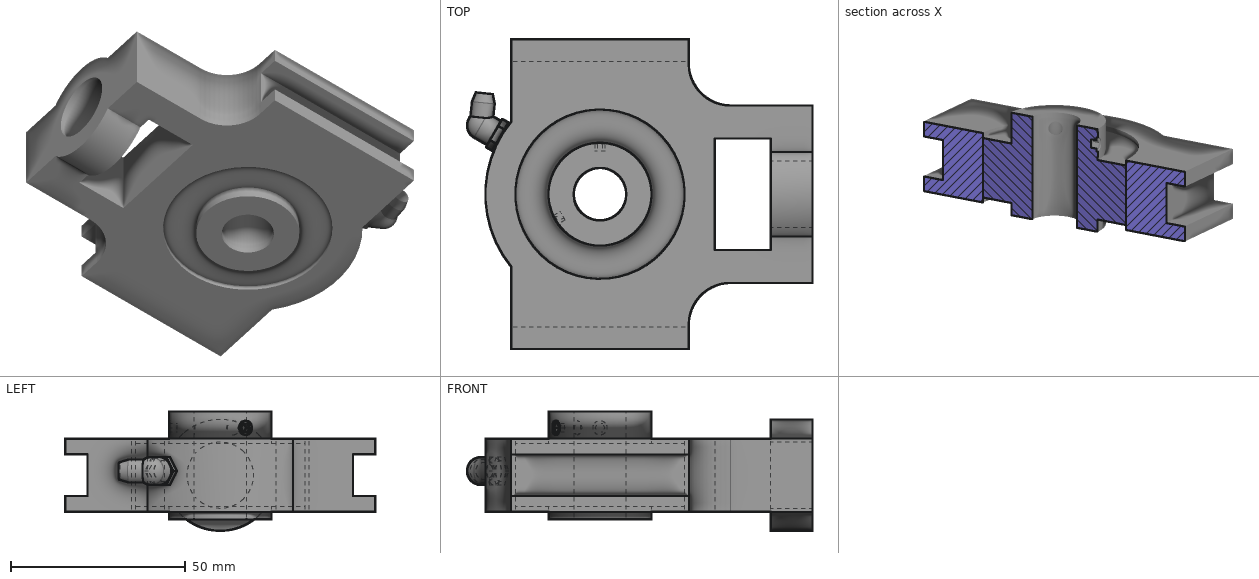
import cadquery as cq
import math


OVERALL_LENGTH = 99.2
OVERALL_HEIGHT = 34.3

HOUSING_THICKNESS = 21.0
BLOCK_LENGTH = 51.0
BLOCK_WIDTH = 89.0
ROUND_END_RADIUS = 32.9
ARM_WIDTH = 51.0
ARM_END_X = 61.0
ARM_FILLET_RADIUS = 12.0
GUIDE_GROOVE_HEIGHT = 11.9
GUIDE_GROOVE_DEPTH = 6.3

WINDOW_START_X = 32.9
WINDOW_WIDTH = 31.9
END_WALL_THICKNESS = 12.0
WINDOW_END_X = ARM_END_X - END_WALL_THICKNESS
BOSS_DIAMETER = 32.0
BOSS_HOLE_DIAMETER = 19.0

RACE_DIAMETER = 48.6
RACE_RECESS = 1.5
RACE_THICKNESS = HOUSING_THICKNESS - 2 * RACE_RECESS
COLLAR_DIAMETER = 29.6
COLLAR_TOP_Z = OVERALL_HEIGHT - BOSS_DIAMETER / 2
COLLAR_BOTTOM_Z = -12.7
SHAFT_DIAMETER = 15.0

SCREW_DIAMETER = 4.1
SCREW_Z = 13.6
SCREW_ANGLES = (90, 210)
SCREW_FACE_INSET = 0.4
SCREW_FACE_RADIUS = COLLAR_DIAMETER / 2 - SCREW_FACE_INSET
SCREW_TIP_INSET = 0.1
SCREW_TIP_RADIUS = SHAFT_DIAMETER / 2 + SCREW_TIP_INSET
SOCKET_ACROSS_FLATS = 2.4
SOCKET_DEPTH = 2.0

NIPPLE_ANGLE = 150
NIPPLE_Z = 1.2
ELBOW_DIAMETER = 8.0
ELBOW_REACH = OVERALL_LENGTH - ARM_END_X - ELBOW_DIAMETER / 2
ELBOW_RADIUS = ELBOW_REACH / abs(math.cos(math.radians(NIPPLE_ANGLE)))
SHANK_DIAMETER = 6.0
SHANK_INNER_RADIUS = 30.7
HEX_ACROSS_FLATS = 8.1
HEX_THICKNESS = 2.1
HEX_CLEARANCE = 0.1
HEX_INNER_RADIUS = ROUND_END_RADIUS + HEX_CLEARANCE
HEX_OUTER_RADIUS = HEX_INNER_RADIUS + HEX_THICKNESS
SPOUT_ANGLE = 84
SPOUT_DIAMETER = 6.6
SPOUT_TIP_DIAMETER = 5.0
SPOUT_STRAIGHT_LENGTH = 6.5
SPOUT_LENGTH = 9.3


def direction(angle):
    """Horizontal unit vector at an angle in degrees from +X."""
    return cq.Vector(math.cos(math.radians(angle)), math.sin(math.radians(angle)), 0)


def radial_plane(angle, radius, z):
    """Plane facing away from the bearing axis, at a given radius and height."""
    origin = direction(angle) * radius + cq.Vector(0, 0, z)
    return cq.Plane(origin=origin, xDir=direction(angle + 90), normal=direction(angle))


def revolve_plane(angle, origin):
    """Horizontal plane whose local Y axis points along the given angle."""
    return cq.Plane(origin=origin, xDir=direction(angle - 90), normal=(0, 0, 1))


def hexagon(plane, across_flats, length):
    """Hexagonal prism with corners on the local X axis of its plane."""
    across_corners = across_flats / math.cos(math.radians(30))
    return cq.Workplane(plane).polygon(6, across_corners).extrude(length)


def vertical_cylinder(diameter, bottom_z, top_z):
    return cq.Workplane("XY", origin=(0, 0, bottom_z)).circle(diameter / 2).extrude(top_z - bottom_z)


def make_plate():
    """T-shaped plate with a round end and filleted inner corners."""
    block = cq.Workplane("XY").box(BLOCK_LENGTH, BLOCK_WIDTH, HOUSING_THICKNESS)
    arm = (
        cq.Workplane("XY")
        .box(ARM_END_X, ARM_WIDTH, HOUSING_THICKNESS)
        .translate((ARM_END_X / 2, 0, 0))
    )
    inner_corners = cq.selectors.BoxSelector(
        (BLOCK_LENGTH / 2 - 1, -ARM_WIDTH / 2 - 1, -HOUSING_THICKNESS),
        (BLOCK_LENGTH / 2 + 1, ARM_WIDTH / 2 + 1, HOUSING_THICKNESS),
    )
    plate = block.union(arm).edges("|Z").edges(inner_corners).fillet(ARM_FILLET_RADIUS)
    half = HOUSING_THICKNESS / 2
    return plate.union(vertical_cylinder(2 * ROUND_END_RADIUS, -half, half))


def cut_guide_grooves(plate):
    groove = cq.Workplane("XY").box(BLOCK_LENGTH, 2 * GUIDE_GROOVE_DEPTH, GUIDE_GROOVE_HEIGHT)
    for side in (-1, 1):
        plate = plate.cut(groove.translate((0, side * BLOCK_WIDTH / 2, 0)))
    return plate


def add_screw_end(plate):
    """Round boss on the end wall, bored along X, behind the rectangular window."""
    window_length = WINDOW_END_X - WINDOW_START_X
    window = (
        cq.Workplane("XY")
        .box(window_length, WINDOW_WIDTH, HOUSING_THICKNESS)
        .translate(((WINDOW_START_X + WINDOW_END_X) / 2, 0, 0))
    )
    wall_face = cq.Workplane("YZ", origin=(WINDOW_END_X, 0, 0))
    boss = wall_face.circle(BOSS_DIAMETER / 2).extrude(END_WALL_THICKNESS)
    hole = wall_face.circle(BOSS_HOLE_DIAMETER / 2).extrude(END_WALL_THICKNESS)
    return plate.cut(window).union(boss).cut(hole)


def make_nipple():
    """Hexagon, elbow with a ball corner, and a tapered spout."""
    shank = (
        cq.Workplane(radial_plane(NIPPLE_ANGLE, SHANK_INNER_RADIUS, NIPPLE_Z))
        .circle(SHANK_DIAMETER / 2)
        .extrude(HEX_OUTER_RADIUS - SHANK_INNER_RADIUS)
    )
    hex_plane = radial_plane(NIPPLE_ANGLE, HEX_INNER_RADIUS, NIPPLE_Z)
    hex_base = hexagon(hex_plane, HEX_ACROSS_FLATS, HEX_THICKNESS)
    elbow_centre = direction(NIPPLE_ANGLE) * ELBOW_RADIUS + cq.Vector(0, 0, NIPPLE_Z)
    ball_radius = ELBOW_DIAMETER / 2
    neck_start = HEX_OUTER_RADIUS - ELBOW_RADIUS
    ball_middle = ball_radius * math.sqrt(0.5)
    elbow = (
        cq.Workplane(revolve_plane(NIPPLE_ANGLE, elbow_centre))
        .moveTo(0, neck_start)
        .lineTo(ball_radius, neck_start)
        .lineTo(ball_radius, 0)
        .threePointArc((ball_middle, ball_middle), (0, ball_radius))
        .close()
        .revolve(360, (0, 0), (0, 1))
    )
    spout_profile = [
        (0, 0),
        (SPOUT_DIAMETER / 2, 0),
        (SPOUT_DIAMETER / 2, SPOUT_STRAIGHT_LENGTH),
        (SPOUT_TIP_DIAMETER / 2, SPOUT_LENGTH),
        (0, SPOUT_LENGTH),
    ]
    spout = (
        cq.Workplane(revolve_plane(SPOUT_ANGLE, elbow_centre))
        .polyline(spout_profile)
        .close()
        .revolve(360, (0, 0), (0, 1))
    )
    return shank.union(hex_base).union(elbow).union(spout)


def make_housing():
    housing = add_screw_end(cut_guide_grooves(make_plate()))
    half = HOUSING_THICKNESS / 2
    race_seat = vertical_cylinder(RACE_DIAMETER, -half, half)
    return housing.cut(race_seat).union(make_nipple())


def cut_set_screw(insert, angle):
    """Shallow hollows over both ends of a set screw, and its hexagon socket."""
    screw_face = radial_plane(angle, SCREW_FACE_RADIUS, SCREW_Z)
    outer_hollow = cq.Workplane(screw_face).circle(SCREW_DIAMETER / 2).extrude(SCREW_DIAMETER)
    socket = hexagon(screw_face, SOCKET_ACROSS_FLATS, -SOCKET_DEPTH)
    inner_hollow = (
        cq.Workplane(radial_plane(angle, 0, SCREW_Z))
        .circle(SCREW_DIAMETER / 2)
        .extrude(SCREW_TIP_RADIUS)
    )
    return insert.cut(outer_hollow).cut(socket).cut(inner_hollow)


def make_insert():
    """Bearing race with a long collar, bored for the shaft and fitted with set screws."""
    race = vertical_cylinder(RACE_DIAMETER, -RACE_THICKNESS / 2, RACE_THICKNESS / 2)
    collar = vertical_cylinder(COLLAR_DIAMETER, COLLAR_BOTTOM_Z, COLLAR_TOP_Z)
    bore = vertical_cylinder(SHAFT_DIAMETER, COLLAR_BOTTOM_Z, COLLAR_TOP_Z)
    insert = race.union(collar).cut(bore)
    for angle in SCREW_ANGLES:
        insert = cut_set_screw(insert, angle)
    return insert


housing = make_housing()
insert = make_insert()

result = cq.Compound.makeCompound([housing.solids().val(), insert.solids().val()])